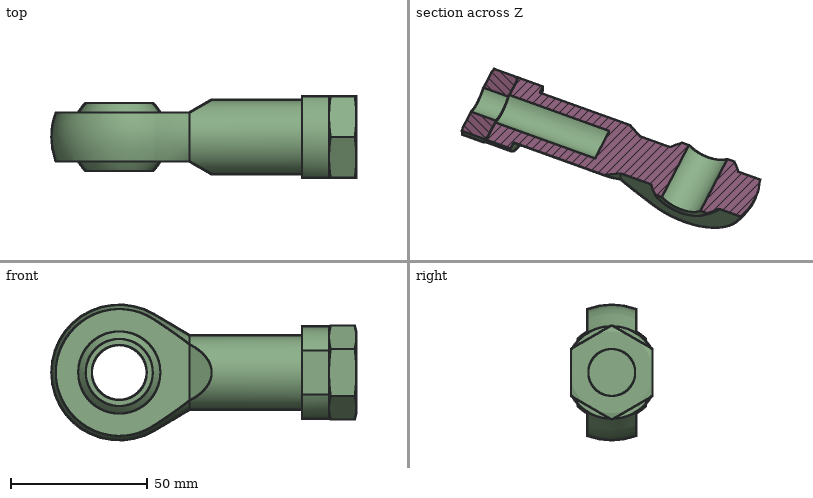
import cadquery as cq
import math

overall_length = 112.0

eye_radius = 25.0
eye_width = 18.0
ball_radius = 17.6
ball_width = 25.1
eye_bore_diameter = 20.0

shank_diameter = 27.4
shank_radius = shank_diameter / 2
neck_end_x = 25.8
flat_runout_length = 8.2
thread_bore_diameter = 18.4
thread_bore_depth = 40.0

across_flats = 30.0
collar_diameter = 34.0
collar_length = 10.0
nut_length = 10.0
nut_bore_diameter = 17.2
nut_chamfer_height = 0.6

nut_end_x = overall_length - eye_radius
nut_start_x = nut_end_x - nut_length
collar_start_x = nut_start_x - collar_length


def cylinder_along_x(diameter, start_x, length):
    return cq.Workplane("YZ", origin=(start_x, 0, 0)).circle(diameter / 2).extrude(length)


def make_eye_and_shank():
    """Spherical eye, tangent conical neck and round shank, turned about X."""
    neck_angle = math.atan2(shank_radius, neck_end_x)
    neck_distance = math.hypot(neck_end_x, shank_radius)
    tangent_angle = neck_angle + math.acos(eye_radius / neck_distance)
    tangent_point = (eye_radius * math.cos(tangent_angle), eye_radius * math.sin(tangent_angle))
    arc_middle_angle = (tangent_angle + math.pi) / 2
    arc_middle = (eye_radius * math.cos(arc_middle_angle), eye_radius * math.sin(arc_middle_angle))
    turned = (
        cq.Workplane("XY")
        .moveTo(-eye_radius, 0)
        .threePointArc(arc_middle, tangent_point)
        .lineTo(neck_end_x, shank_radius)
        .lineTo(collar_start_x, shank_radius)
        .lineTo(collar_start_x, 0)
        .close()
        .revolve(360, (0, 0, 0), (1, 0, 0))
    )
    return turned.intersect(make_flats_envelope())


def make_flats_envelope():
    """Prism that trims the eye to its width and ramps out to the full shank."""
    half_width = eye_width / 2
    runout_end_x = neck_end_x + flat_runout_length
    upper_side = [
        (-eye_radius, half_width),
        (neck_end_x, half_width),
        (runout_end_x, shank_radius),
        (collar_start_x, shank_radius),
    ]
    lower_side = [(x, -y) for x, y in reversed(upper_side)]
    return cq.Workplane("XY").polyline(upper_side + lower_side).close().extrude(eye_radius, both=True)


def make_ball():
    """Ball with flat ends across Y."""
    ball_trim = cq.Workplane("XY").box(2 * ball_radius, ball_width, 2 * ball_radius)
    return cq.Workplane("XY").sphere(ball_radius).intersect(ball_trim)


def make_collar():
    """Round collar with two wrench flats facing +Y and -Y."""
    flats = cq.Workplane("XY").box(2 * overall_length, across_flats, collar_diameter)
    return cylinder_along_x(collar_diameter, collar_start_x, collar_length).intersect(flats)


def make_rod_end():
    eye_bore = cq.Workplane("XZ").circle(eye_bore_diameter / 2).extrude(ball_width, both=True)
    thread_bore = cylinder_along_x(thread_bore_diameter, nut_start_x - thread_bore_depth, thread_bore_depth)
    return make_eye_and_shank().union(make_ball()).union(make_collar()).cut(eye_bore).cut(thread_bore)


def make_nut():
    """Hexagon nut with flats on +Y and -Y and its corners chamfered at both ends."""
    corner_radius = across_flats / math.sqrt(3)
    face_radius = across_flats / 2
    corners = [
        (corner_radius * math.sin(math.radians(60 * i)), corner_radius * math.cos(math.radians(60 * i)))
        for i in range(6)
    ]
    hexagon = cq.Workplane("YZ", origin=(nut_start_x, 0, 0)).polyline(corners).close().extrude(nut_length)
    chamfer_envelope = (
        cq.Workplane("XY")
        .moveTo(nut_start_x, 0)
        .lineTo(nut_start_x, face_radius)
        .lineTo(nut_start_x + nut_chamfer_height, corner_radius)
        .lineTo(nut_end_x - nut_chamfer_height, corner_radius)
        .lineTo(nut_end_x, face_radius)
        .lineTo(nut_end_x, 0)
        .close()
        .revolve(360, (0, 0, 0), (1, 0, 0))
    )
    bore = cylinder_along_x(nut_bore_diameter, nut_start_x, nut_length)
    return hexagon.intersect(chamfer_envelope).cut(bore)


rod_end = make_rod_end().solids()
nut = make_nut().solids()

result = cq.Compound.makeCompound([rod_end.val(), nut.val()])